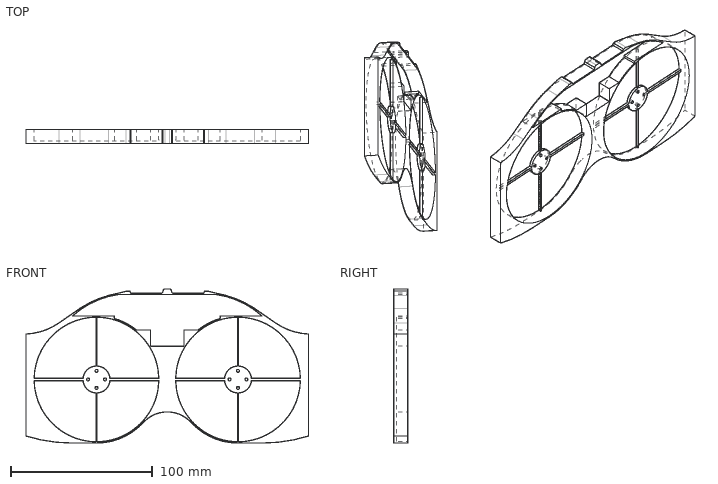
import cadquery as cq
import math

width = 200.0
depth = 10.0
half_width = width / 2

ring_x = width / 4
ring_inner_radius = 44.0
ring_outer_radius = 45.0
hub_radius = 9.5
hub_depth = 2.0
hub_hole_diameter = 2.0
hub_hole_offset = 6.0
spoke_depth = 2.0
horizontal_spoke_width = 1.8
vertical_spoke_width = 0.8

side_bottom_z = -40.0
bottom_flat_x = 67.5
bridge_bottom_z = -23.0

side_top_z = 32.2
shoulder_mid = (87.8, 34.5)
shoulder_end = (76.5, 40.0)
strap_arc_start = (61.8, 50.2)
strap_arc_mid = (52.2, 55.5)
strap_arc_end = (41.5, 59.5)
pad_top_z = 62.5
pad_outer_x = 29.2
pad_inner_x = 26.5
pad_foot_x = 25.5
strap_top_z = 61.0
strap_bottom_z = 60.0

opening_corner_x = 66.8
opening_arc_mid = (52.5, 54.5)
opening_flat_x = 34.5
ledge_inner_x = 37.5
shelf_z = 35.0
notch_half_width = 11.8
notch_z = 23.5

catch_top_z = 64.0
catch_top_half_width = 1.5
catch_round_mid = (2.5, 63.5)
catch_waist = (3.0, 62.5)
catch_foot_half_width = 3.8


def front_plane():
    return cq.Workplane("XZ", origin=(0, -depth / 2, 0))


def extruded(sketch, thickness=depth):
    """Extrude backwards (+Y) from the front face."""
    return sketch.extrude(-thickness)


def rim_point(angle):
    """Point on the outer rim of the ring at an angle from +X."""
    return (
        ring_x + ring_outer_radius * math.cos(angle),
        ring_outer_radius * math.sin(angle),
    )


def half_plate():
    """Right half of the plate with the ring and upper opening still filled."""
    bridge_radius = (ring_x**2 + bridge_bottom_z**2 - ring_outer_radius**2) / (
        2 * (ring_outer_radius + bridge_bottom_z)
    )
    bridge_center_z = bridge_bottom_z - bridge_radius
    tangent_angle = math.atan2(bridge_center_z, -ring_x)
    rim_mid_angle = (tangent_angle - math.pi / 2) / 2
    bridge_mid_angle = (math.pi / 2 + math.atan2(-bridge_center_z, ring_x)) / 2
    bridge_mid = (
        bridge_radius * math.cos(bridge_mid_angle),
        bridge_center_z + bridge_radius * math.sin(bridge_mid_angle),
    )

    outline = (
        front_plane()
        .moveTo(0, bridge_bottom_z)
        .threePointArc(bridge_mid, rim_point(tangent_angle))
        .threePointArc(rim_point(rim_mid_angle), (ring_x, -ring_outer_radius))
        .lineTo(bottom_flat_x, -ring_outer_radius)
        .tangentArcPoint((half_width, side_bottom_z), relative=False)
        .lineTo(half_width, side_top_z)
        .threePointArc(shoulder_mid, shoulder_end)
        .lineTo(*strap_arc_start)
        .threePointArc(strap_arc_mid, strap_arc_end)
        .lineTo(pad_outer_x, pad_top_z)
        .lineTo(pad_inner_x, pad_top_z)
        .lineTo(pad_foot_x, strap_top_z)
        .lineTo(catch_foot_half_width, strap_top_z)
        .lineTo(*catch_waist)
        .threePointArc(catch_round_mid, (catch_top_half_width, catch_top_z))
        .lineTo(0, catch_top_z)
        .close()
    )
    return extruded(outline)


def half_opening():
    """Right half of the opening between the strap, the ledge and the notch."""
    outline = (
        front_plane()
        .moveTo(0, strap_bottom_z)
        .lineTo(opening_flat_x, strap_bottom_z)
        .threePointArc(opening_arc_mid, (opening_corner_x, ring_outer_radius))
        .lineTo(ledge_inner_x, ring_outer_radius)
        .lineTo(ledge_inner_x, shelf_z)
        .lineTo(notch_half_width, shelf_z)
        .lineTo(notch_half_width, notch_z)
        .lineTo(0, notch_z)
        .close()
    )
    return extruded(outline)


def ring_disc(radius, thickness=depth):
    return extruded(front_plane().center(ring_x, 0).circle(radius), thickness)


def spoked_hub():
    """Drilled hub with four spokes reaching the ring, flush with the front face."""
    spoke_span = ring_inner_radius + ring_outer_radius
    hub = ring_disc(hub_radius, hub_depth)
    for size_x, size_z in (
        (spoke_span, horizontal_spoke_width),
        (vertical_spoke_width, spoke_span),
    ):
        spoke = front_plane().center(ring_x, 0).rect(size_x, size_z)
        hub = hub.union(extruded(spoke, spoke_depth))
    holes = (
        front_plane()
        .center(ring_x, 0)
        .polarArray(hub_hole_offset, 0, 360, 4)
        .circle(hub_hole_diameter / 2)
    )
    return hub.cut(extruded(holes, hub_depth))


right_half = (
    half_plate()
    .cut(half_opening())
    .union(ring_disc(ring_outer_radius))
    .cut(ring_disc(ring_inner_radius))
    .union(spoked_hub())
)
result = right_half.union(right_half.mirror("YZ")).clean()